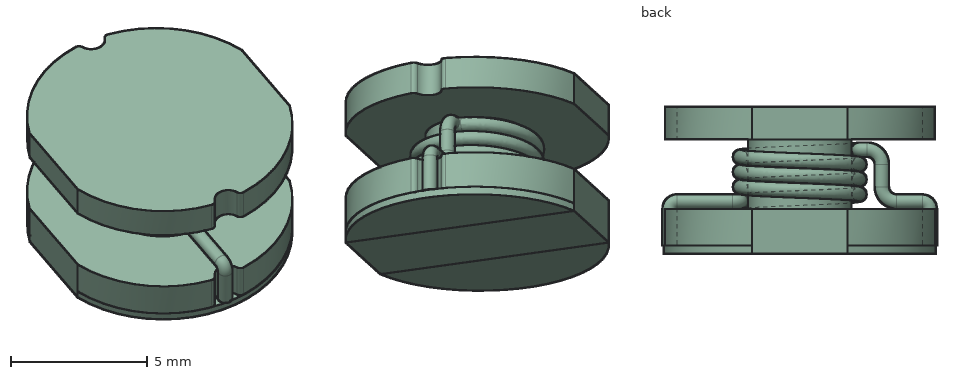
import cadquery as cq
import math

flange_length = 10.0
flange_width = 9.0
flat_length = 3.5

total_height = 5.4
terminal_thickness = 0.3
base_top = 1.65
top_flange_thickness = 1.2

post_diameter = 3.81
notch_radius = 0.5
notch_lip_radius = 0.2

wire_diameter = 0.54
wire_radius = wire_diameter / 2
wire_span = 10.09
coil_radius = 2.19
tangent_bend_radius = 0.3
turn_count = 3.5

riser_bend_radius = 0.54
low_wire_z = base_top + wire_radius
high_wire_z = 3.82
drop_x = wire_span / 2 - wire_radius
drop_bend_radius = drop_x - (flange_length / 2 - notch_radius)


def flange_outline():
    """Closed outline of the flanges, on the XY plane."""
    flat_x = flat_length / 2
    flat_y = flange_width / 2
    end_x = flange_length / 2
    return (
        cq.Workplane("XY")
        .moveTo(-flat_x, -flat_y)
        .lineTo(flat_x, -flat_y)
        .threePointArc((end_x, 0), (flat_x, flat_y))
        .lineTo(-flat_x, flat_y)
        .threePointArc((-end_x, 0), (-flat_x, -flat_y))
        .close()
    )


def slab(bottom, top):
    """Plain slab with the flange outline between two heights."""
    return flange_outline().extrude(top - bottom).translate((0, 0, bottom))


def notched_flange(bottom, top):
    """Flange with a rounded-lip wire notch at each X end."""
    height = top - bottom
    notches = (
        cq.Workplane("XY")
        .workplane(offset=bottom)
        .pushPoints([(-flange_length / 2, 0), (flange_length / 2, 0)])
        .circle(notch_radius)
        .extrude(height)
    )
    lip_zone = cq.selectors.BoxSelector(
        (-flange_length, -2 * notch_radius, bottom),
        (flange_length, 2 * notch_radius, top),
    )
    return (
        slab(bottom, top)
        .cut(notches)
        .edges("|Z")
        .edges(lip_zone)
        .fillet(notch_lip_radius)
    )


def make_core():
    """Drum core: two notched flanges, the post and the foot between the terminals."""
    base = notched_flange(terminal_thickness, base_top)
    top_flange = notched_flange(total_height - top_flange_thickness, total_height)
    foot = cq.Workplane("XY").box(
        flat_length, flange_width, terminal_thickness, centered=(True, True, False)
    )
    post = (
        cq.Workplane("XY")
        .workplane(offset=terminal_thickness)
        .circle(post_diameter / 2)
        .extrude(total_height - top_flange_thickness - terminal_thickness)
    )
    return base.union(foot).union(post).union(top_flange)


def make_terminal(side):
    """Flat terminal under one end of the base; side is -1 or 1 along X."""
    half_space = cq.Workplane("XY").box(
        flange_length, 2 * flange_width, terminal_thickness, centered=(True, True, False)
    )
    offset = side * (flat_length + flange_length) / 2
    return slab(0, terminal_thickness).intersect(half_space.translate((offset, 0, 0)))


bend_centre_distance = coil_radius + tangent_bend_radius
bend_start_x = math.sqrt(bend_centre_distance**2 - tangent_bend_radius**2)
coil_end_angle = math.degrees(math.asin(tangent_bend_radius / bend_centre_distance))
coil_end_x = coil_radius * math.cos(math.radians(coil_end_angle))
coil_end_y = -coil_radius * math.sin(math.radians(coil_end_angle))


def tangent_path(start, start_direction, points):
    """Wire path from (kind, point) steps, where each bend is an arc tangent to what precedes it."""
    edges = []
    position = cq.Vector(*start)
    direction = cq.Vector(*start_direction)
    for kind, point in points:
        target = cq.Vector(*point)
        if kind == "line":
            edge = cq.Edge.makeLine(position, target)
        else:
            edge = cq.Edge.makeTangentArc(position, direction, target)
        edges.append(edge)
        direction = edge.tangentAt(1)
        position = target
    return cq.Wire.assembleEdges(edges)


def sweep_lead(start, steps):
    """Round lead that rises from a terminal and follows the steps to the coil."""
    path = tangent_path(start, (0, 0, 1), steps)
    return (
        cq.Workplane("XY", origin=start)
        .circle(wire_radius)
        .sweep(cq.Workplane(obj=path))
    )


def drop_steps(side):
    """Rise from the terminal through the notch and bend inward over the base."""
    return [
        ("line", (side * drop_x, 0, low_wire_z - drop_bend_radius)),
        ("arc", (side * (drop_x - drop_bend_radius), 0, low_wire_z)),
    ]


def make_low_lead():
    """Lead at the +X end, straight to the bottom of the coil."""
    steps = drop_steps(1) + [
        ("line", (bend_start_x, 0, low_wire_z)),
        ("arc", (coil_end_x, coil_end_y, low_wire_z)),
    ]
    return sweep_lead((drop_x, 0, terminal_thickness), steps)


def make_high_lead():
    """Lead at the -X end, with a riser up to the top of the coil."""
    riser_x = -bend_start_x - riser_bend_radius
    steps = drop_steps(-1) + [
        ("line", (riser_x - riser_bend_radius, 0, low_wire_z)),
        ("arc", (riser_x, 0, low_wire_z + riser_bend_radius)),
        ("line", (riser_x, 0, high_wire_z - riser_bend_radius)),
        ("arc", (-bend_start_x, 0, high_wire_z)),
        ("arc", (-coil_end_x, coil_end_y, high_wire_z)),
    ]
    return sweep_lead((-drop_x, 0, terminal_thickness), steps)


def make_coil():
    """Left-hand coil, rising from the low lead to the high lead."""
    rise = high_wire_z - low_wire_z
    turns_wound = turn_count - 2 * coil_end_angle / 360
    helix = cq.Wire.makeHelix(rise / turns_wound, rise, coil_radius, lefthand=True)
    coil = (
        cq.Workplane("XZ", origin=(coil_radius, 0, 0))
        .circle(wire_radius)
        .sweep(cq.Workplane(obj=helix), isFrenet=True)
    )
    return coil.rotate((0, 0, 0), (0, 0, 1), -coil_end_angle).translate((0, 0, low_wire_z))


core = make_core()
terminals = [make_terminal(side) for side in (-1, 1)]
winding = make_coil().union(make_low_lead()).union(make_high_lead())

result = cq.Compound.makeCompound([core.val(), *[t.val() for t in terminals], winding.val()])